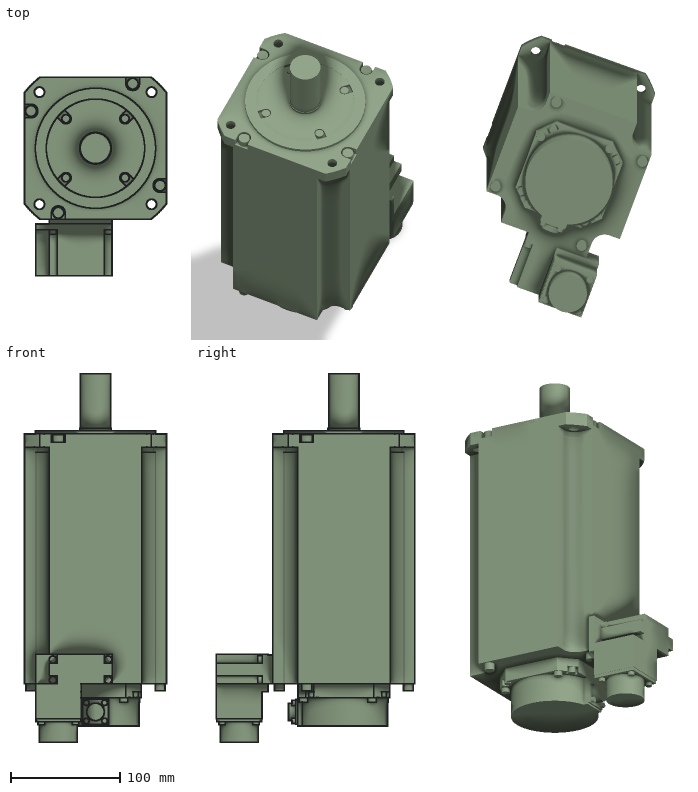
import cadquery as cq
import math


OVERALL_DEPTH = 181.8
OVERALL_LENGTH = 337.0

SHAFT_DIA = 28.0
SHAFT_LENGTH = 55.0
COLLAR_DIA = 29.0
COLLAR_TOP = 5.0
PILOT_DIA = 110.0
PILOT_HEIGHT = 3.0
FLANGE_SIZE = 130.0
FLANGE_CORNER_DIA = 165.0
FLANGE_THICKNESS = 12.0
MOUNT_CIRCLE_DIA = 145.0
MOUNT_HOLE_DIA = 9.0

COVER_DIA = 90.0
COVER_RECESS = 0.3
COVER_SCREW_OFFSET = 27.0
COVER_SLOT_WIDTH = 9.4
COVER_SLOT_DEPTH = 3.2
COVER_HEAD_DIA = 7.5
COVER_HEAD_RECESS = 0.5

TIE_SCREW_INSET = 6.0
TIE_SCREW_OFFSET = 34.0
TIE_POCKET_WIDTH = 12.5
TIE_POCKET_DEPTH = 7.5
TIE_HEAD_DIA = 10.0
TIE_HEAD_RECESS = 1.0
TIE_TAIL_DIA = 9.2
TIE_TAIL_LENGTH = 6.5

BODY_BOTTOM = -228.5
NOTCH_HALF_SPAN = 42.3
NOTCH_FILLET = 12.4
TOP_BAND_BOTTOM = -17.0
TOP_BAND_FILLET = 10.6

BASE_SIZE = 84.0
BASE_CHAMFER = 14.5
BASE_BOTTOM = -241.2
BASE_POCKET_WIDTH = 10.2
BASE_POCKET_HEIGHT = 5.3
BASE_POCKET_SHIFT = 4.9
BASE_POCKET_REACH = 6.0
BASE_HEAD_DIA = 7.0
BASE_HEAD_INSET = 4.0
ENCODER_DIA = 80.0
ENCODER_BOTTOM = -267.2
ENCODER_SCREW_CIRCLE_DIA = 90.0
ENCODER_SCREW_ANGLE = 35.0
ENCODER_HEAD_DIA = 7.6
ENCODER_HEAD_HEIGHT = 4.0

PAD_WIDTH = 24.4
PAD_FACE_Y = -42.3
SOCKET_PLATE_SIZE = 23.0
SOCKET_PLATE_THICKNESS = 1.8
SOCKET_Z = -254.1
SOCKET_DIA = 16.0
SOCKET_LENGTH = 8.5
SOCKET_SCREW_OFFSET = 8.3
SOCKET_HEAD_DIA = 5.0
SOCKET_HEAD_REACH = 5.2

CONN_TOP = -201.4
CONN_NECK_TOP = -202.0
CONN_LEFT_X = -54.8
CONN_RIGHT_X = 15.2
CONN_UPPER_LEFT_X = -NOTCH_HALF_SPAN
CONN_FRONT_Y = FLANGE_SIZE / 2 - OVERALL_DEPTH
CONN_PLATE_BACK_Y = -69.2
CONN_PLATE_FRONT_Y = -74.6
CONN_PLATE_BOTTOM = -235.8
CONN_BOX_WIDTH = 41.6
CONN_BOX_BOTTOM = -260.2
CONN_NOTCH_WIDTH = 7.4
CONN_TOP_NOTCH_Z = -209.7
CONN_LOW_NOTCH_Z = -221.0
CONN_SCREW_X = (-39.0, 11.6)
CONN_SCREW_Z = (-206.3, -225.0)
CONN_HEAD_DIA = 6.6
CONN_HEAD_HEIGHT = 4.2

PLUG_PLATE_SIZE = 41.0
PLUG_PLATE_BOTTOM = -263.0
PLUG_DIA = 35.0
PLUG_BOTTOM = SHAFT_LENGTH - OVERALL_LENGTH
PLUG_SCREW_OFFSET = 15.6
PLUG_HEAD_DIA = 6.0
PLUG_HEAD_HEIGHT = 3.0

CORNER_ANGLE = 45
QUARTER_TURNS = (0, 90, 180, 270)
OVERLAP = 1.0


def block(x0, x1, y0, y1, z0, z1):
    """Box given by its limits along each axis."""
    return cq.Workplane("XY").box(x1 - x0, y1 - y0, z1 - z0, centered=False).translate((x0, y0, z0))


def post(x, y, z0, z1, dia):
    """Cylinder parallel to Z between two heights."""
    return cq.Workplane("XY").circle(dia / 2).extrude(z1 - z0).translate((x, y, z0))


def front_post(x, z, y_back, y_front, dia):
    """Cylinder parallel to Y that points toward -Y."""
    return cq.Workplane("XZ").circle(dia / 2).extrude(y_back - y_front).translate((x, y_back, z))


def around_axis(shape):
    """The shape repeated at four quarter turns about the motor axis."""
    copies = cq.Workplane("XY")
    for angle in QUARTER_TURNS:
        copies = copies.add(shape.rotate((0, 0, 0), (0, 0, 1), angle))
    return copies.combine()


def radial_slot(center_radius, end_radius, width, z0, z1):
    """Slot along +X with a round inner end."""
    inner_end = post(center_radius, 0, z0, z1, width)
    return inner_end.union(block(center_radius, end_radius, -width / 2, width / 2, z0, z1))


def flange():
    plate = cq.Workplane("XY").box(FLANGE_SIZE, FLANGE_SIZE, FLANGE_THICKNESS)
    plate = plate.translate((0, 0, -FLANGE_THICKNESS / 2))
    plate = plate.intersect(post(0, 0, -FLANGE_THICKNESS, 0, FLANGE_CORNER_DIA))
    hole_offset = MOUNT_CIRCLE_DIA / 2 * math.cos(math.radians(CORNER_ANGLE))
    hole = post(hole_offset, hole_offset, -FLANGE_THICKNESS, 0, MOUNT_HOLE_DIA)
    return plate.cut(around_axis(hole))


def body_length(z0, z1, fillet):
    """Square bar whose corners carry rounded inward notches."""
    side = FLANGE_SIZE / 2
    bar = block(-side, side, -side, side, z0, z1)
    notch = block(NOTCH_HALF_SPAN, side + fillet, NOTCH_HALF_SPAN, side + fillet, z0, z1)
    notch = notch.edges("|Z and <X and <Y").fillet(fillet)
    return bar.cut(around_axis(notch))


def motor_body():
    top_band = body_length(TOP_BAND_BOTTOM, -FLANGE_THICKNESS, TOP_BAND_FILLET)
    return top_band.union(body_length(BODY_BOTTOM, TOP_BAND_BOTTOM, NOTCH_FILLET))


def shaft_and_pilot():
    pilot = post(0, 0, 0, PILOT_HEIGHT, PILOT_DIA)
    pilot = pilot.cut(post(0, 0, PILOT_HEIGHT - COVER_RECESS, PILOT_HEIGHT, COVER_DIA))
    collar = post(0, 0, 0, COLLAR_TOP, COLLAR_DIA)
    return pilot.union(collar).union(post(0, 0, 0, SHAFT_LENGTH, SHAFT_DIA))


def add_cover_screws(part):
    """Slots in the bearing cover at 45 degrees, each with a nearly flush screw head."""
    radius = COVER_SCREW_OFFSET / math.cos(math.radians(CORNER_ANGLE))
    floor = PILOT_HEIGHT - COVER_SLOT_DEPTH
    slot = radial_slot(radius, COVER_DIA, COVER_SLOT_WIDTH, floor, PILOT_HEIGHT)
    slot = slot.intersect(post(0, 0, floor, PILOT_HEIGHT, COVER_DIA))
    head = post(radius, 0, floor - OVERLAP, PILOT_HEIGHT - COVER_HEAD_RECESS, COVER_HEAD_DIA)
    pocket = slot.cut(head).rotate((0, 0, 0), (0, 0, 1), CORNER_ANGLE)
    return part.cut(around_axis(pocket))


def add_tie_screws(part):
    """Edge pockets with screw heads in the flange and screw tails below the body."""
    side = FLANGE_SIZE / 2
    radius = side - TIE_SCREW_INSET
    slot = radial_slot(radius, side, TIE_POCKET_WIDTH, -TIE_POCKET_DEPTH, 0)
    head = post(radius, 0, -TIE_POCKET_DEPTH, -TIE_HEAD_RECESS, TIE_HEAD_DIA)
    pocket = slot.cut(head).translate((0, -TIE_SCREW_OFFSET, 0))
    tail = post(radius, -TIE_SCREW_OFFSET, BODY_BOTTOM - TIE_TAIL_LENGTH, BODY_BOTTOM + OVERLAP, TIE_TAIL_DIA)
    return part.cut(around_axis(pocket)).union(around_axis(tail))


def encoder_base():
    """Chamfered square plate with a screw pocket in each corner face."""
    side = BASE_SIZE / 2
    plate = block(-side, side, -side, side, BASE_BOTTOM, BODY_BOTTOM)
    plate = plate.edges("|Z").chamfer(BASE_CHAMFER)
    corner_radius = (BASE_SIZE - BASE_CHAMFER) * math.cos(math.radians(CORNER_ANGLE))
    ceiling = BASE_BOTTOM + BASE_POCKET_HEIGHT
    half_width = BASE_POCKET_WIDTH / 2
    pocket = block(corner_radius - BASE_POCKET_REACH, corner_radius + OVERLAP,
                   -half_width, half_width, BASE_BOTTOM, ceiling)
    head = post(corner_radius - BASE_HEAD_INSET, 0, BASE_BOTTOM, ceiling, BASE_HEAD_DIA)
    recess = pocket.cut(head).translate((0, BASE_POCKET_SHIFT, 0))
    recess = recess.rotate((0, 0, 0), (0, 0, 1), CORNER_ANGLE)
    return plate.cut(around_axis(recess))


def encoder_cover():
    cover = post(0, 0, ENCODER_BOTTOM, BASE_BOTTOM, ENCODER_DIA)
    half_pad = PAD_WIDTH / 2
    cover = cover.union(block(-half_pad, half_pad, PAD_FACE_Y, 0, ENCODER_BOTTOM, BASE_BOTTOM))
    head_bottom = BASE_BOTTOM - ENCODER_HEAD_HEIGHT
    head = post(ENCODER_SCREW_CIRCLE_DIA / 2, 0, head_bottom, BASE_BOTTOM, ENCODER_HEAD_DIA)
    head = head.rotate((0, 0, 0), (0, 0, 1), ENCODER_SCREW_ANGLE)
    return cover.union(around_axis(head))


def signal_socket():
    half = SOCKET_PLATE_SIZE / 2
    plate_face = PAD_FACE_Y - SOCKET_PLATE_THICKNESS
    socket = block(-half, half, plate_face, PAD_FACE_Y, SOCKET_Z - half, SOCKET_Z + half)
    socket = socket.union(front_post(0, SOCKET_Z, PAD_FACE_Y, PAD_FACE_Y - SOCKET_LENGTH, SOCKET_DIA))
    for x in (-SOCKET_SCREW_OFFSET, SOCKET_SCREW_OFFSET):
        for dz in (-SOCKET_SCREW_OFFSET, SOCKET_SCREW_OFFSET):
            head = front_post(x, SOCKET_Z + dz, PAD_FACE_Y, PAD_FACE_Y - SOCKET_HEAD_REACH, SOCKET_HEAD_DIA)
            socket = socket.union(head)
    return socket


def power_connector():
    """Angled housing: neck, mounting plate, notched upper block and lower box."""
    box_right = CONN_LEFT_X + CONN_BOX_WIDTH
    neck = block(CONN_UPPER_LEFT_X, CONN_RIGHT_X, CONN_PLATE_BACK_Y, OVERLAP - FLANGE_SIZE / 2,
                 BODY_BOTTOM, CONN_NECK_TOP)
    plate = block(CONN_LEFT_X, CONN_RIGHT_X, CONN_PLATE_FRONT_Y, CONN_PLATE_BACK_Y, BODY_BOTTOM, CONN_TOP)
    plate_foot = block(CONN_LEFT_X, box_right, CONN_PLATE_FRONT_Y, CONN_PLATE_BACK_Y,
                       CONN_PLATE_BOTTOM, BODY_BOTTOM)
    upper = block(CONN_UPPER_LEFT_X, CONN_RIGHT_X, CONN_FRONT_Y, CONN_PLATE_FRONT_Y, BODY_BOTTOM, CONN_TOP)
    notch_columns = (
        (CONN_UPPER_LEFT_X, CONN_UPPER_LEFT_X + CONN_NOTCH_WIDTH),
        (CONN_RIGHT_X - CONN_NOTCH_WIDTH, CONN_RIGHT_X),
    )
    notch_rows = ((CONN_TOP_NOTCH_Z, CONN_TOP), (BODY_BOTTOM, CONN_LOW_NOTCH_Z))
    for x0, x1 in notch_columns:
        for z0, z1 in notch_rows:
            upper = upper.cut(block(x0, x1, CONN_FRONT_Y, CONN_PLATE_FRONT_Y, z0, z1))
    lower = block(CONN_LEFT_X, box_right, CONN_FRONT_Y, CONN_PLATE_FRONT_Y, CONN_BOX_BOTTOM, BODY_BOTTOM)
    housing = neck.union(plate).union(plate_foot).union(upper).union(lower)
    for x in CONN_SCREW_X:
        for z in CONN_SCREW_Z:
            head = front_post(x, z, CONN_PLATE_FRONT_Y + OVERLAP, CONN_PLATE_FRONT_Y - CONN_HEAD_HEIGHT,
                              CONN_HEAD_DIA)
            housing = housing.union(head)
    return housing


def power_plug():
    """Square plate, round plug and four screw heads centred under the lower box."""
    x = CONN_LEFT_X + CONN_BOX_WIDTH / 2
    y = (CONN_FRONT_Y + CONN_PLATE_FRONT_Y) / 2
    half = PLUG_PLATE_SIZE / 2
    plug = block(x - half, x + half, y - half, y + half, PLUG_PLATE_BOTTOM, CONN_BOX_BOTTOM)
    plug = plug.union(post(x, y, PLUG_BOTTOM, PLUG_PLATE_BOTTOM, PLUG_DIA))
    for dx in (-PLUG_SCREW_OFFSET, PLUG_SCREW_OFFSET):
        for dy in (-PLUG_SCREW_OFFSET, PLUG_SCREW_OFFSET):
            head_bottom = PLUG_PLATE_BOTTOM - PLUG_HEAD_HEIGHT
            plug = plug.union(post(x + dx, y + dy, head_bottom, PLUG_PLATE_BOTTOM, PLUG_HEAD_DIA))
    return plug


motor = flange().union(motor_body()).union(shaft_and_pilot())
motor = add_cover_screws(motor)
motor = add_tie_screws(motor)
motor = motor.union(encoder_base()).union(encoder_cover()).union(signal_socket())
result = motor.union(power_connector()).union(power_plug()).clean()